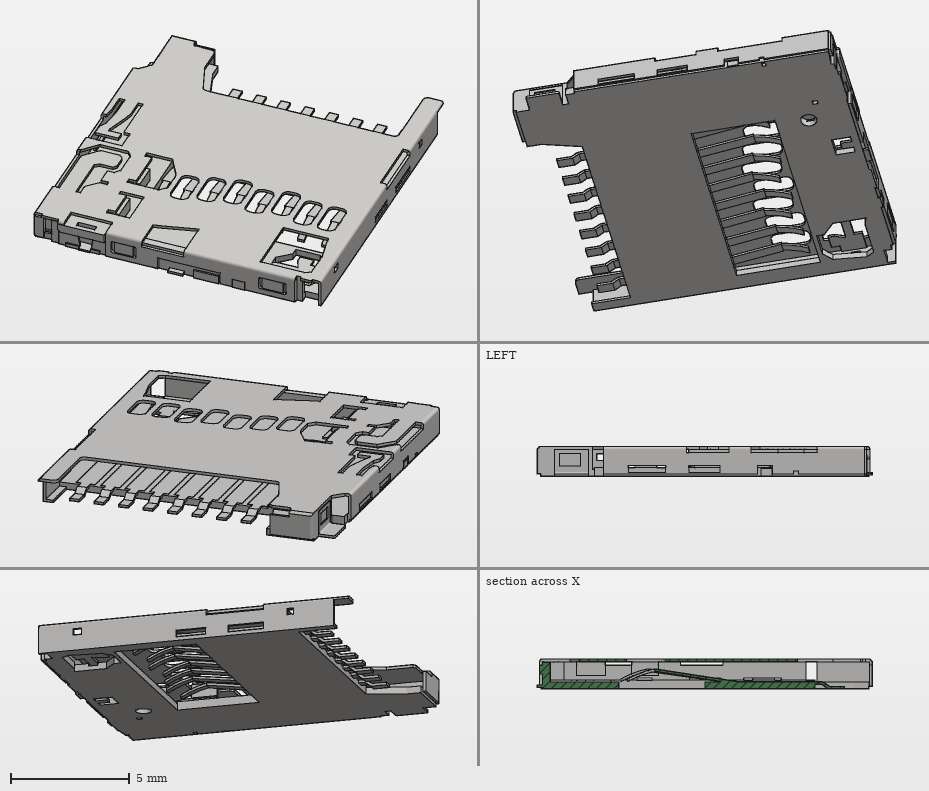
import cadquery as cq

WIDTH = 13.1
LENGTH = 14.17
HEIGHT = 1.28
SHEET = 0.13
ARM_CORNER = 0.11
BEND = 0.14
FLOOR_TOP = 0.3
RAIL_TOP = 0.37
RAIL_RIGHT = 3.61
WALL_BOTTOM = 0.11
COVER_UNDER = HEIGHT - SHEET
NOTCH_BOTTOM = 1.0

FRONT = 0.1
PLASTIC_FRONT = FRONT + SHEET
PLASTIC_BACK = 0.57
PLASTIC_TOP = 1.13
CORNER_FRONT = 0.34
LEFT_WALL_BACK = 11.36
BACK_EDGE = 11.01
ARM_LEFT = 0.72
ARM_RIGHT = 2.85
BACK_WALL_RIGHT = 2.64
RIGHT_ARM_INNER = 12.24
RIGHT_ARM_BACK = 14.08
OUTLINE_RADIUS = 0.21
FRONT_WALL_LEFT = 3.36
FRONT_WALL_RIGHT = 11.99
FLOOR_BACK = 11.75
FOOT_FRONT = 12.0
FOOT_BACK = 13.43
FOOT_THICKNESS = 0.11
FOOT_RADIUS = 0.09

FRONT_LATCHES = [(3.61, 4.75), (10.35, 11.59)]
LATCH_MARGIN = 0.14
FLOOR_EDGE = 0.07
ARM_WINDOW_Y = (12.33, 13.22)
ARM_WINDOW_Z = (0.44, 0.96)

CONTACT_COUNT = 8
FIRST_CONTACT_X = 4.15
LAST_CONTACT_X = 11.85
CONTACT_PITCH = (LAST_CONTACT_X - FIRST_CONTACT_X) / (CONTACT_COUNT - 1)
CONTACT_THICKNESS = 0.11
TIP_BOW = 0.05
BEAM_ROOT = 8.5
SLOT_WIDTH = 0.82
SLOT_LENGTH = 1.67
SLOT_RADIUS = 0.28
SLOT_CENTRES_Y = [4.62, 4.34, 4.62, 4.89, 4.62, 4.89, 4.62, 4.62]


def box(x0, x1, y0, y1, z0, z1):
    return cq.Workplane("XY").box(x1 - x0, y1 - y0, z1 - z0, centered=False).translate((x0, y0, z0))


def prism(points, z0, z1):
    return cq.Workplane("XY").workplane(offset=z0).polyline(points).close().extrude(z1 - z0)


def profile_along_x(points, x0, x1):
    """Extrude a (y, z) outline from x0 to x1."""
    return cq.Workplane("YZ").workplane(offset=x0).polyline(points).close().extrude(x1 - x0)


def through_cover(points):
    return prism(points, NOTCH_BOTTOM, HEIGHT)


def contact_x(index):
    return FIRST_CONTACT_X + index * CONTACT_PITCH


def cover_sheet():
    outline = [
        (0, CORNER_FRONT), (0, LEFT_WALL_BACK), (0.27, LEFT_WALL_BACK), (ARM_LEFT, 11.82),
        (ARM_LEFT, LENGTH), (BACK_WALL_RIGHT, LENGTH), (BACK_WALL_RIGHT, 14.01), (ARM_RIGHT, 14.01),
        (ARM_RIGHT, 12.5), (3.37, BACK_EDGE), (RIGHT_ARM_INNER, BACK_EDGE),
        (RIGHT_ARM_INNER, RIGHT_ARM_BACK), (WIDTH, RIGHT_ARM_BACK),
        (WIDTH, CORNER_FRONT), (12.7, CORNER_FRONT), (12.7, 0.24), (12.19, 0.24), (12.19, CORNER_FRONT),
        (FRONT_WALL_RIGHT, CORNER_FRONT), (FRONT_WALL_RIGHT, FRONT), (1.16, FRONT), (1.16, 0.24),
        (0.38, 0.24), (0.38, CORNER_FRONT),
    ]
    sheet = prism(outline, COVER_UNDER, HEIGHT)
    for x, y in [(3.37, BACK_EDGE), (RIGHT_ARM_INNER, BACK_EDGE), (RIGHT_ARM_INNER, RIGHT_ARM_BACK)]:
        corner = cq.selectors.NearestToPointSelector((x, y, (HEIGHT + COVER_UNDER) / 2))
        sheet = sheet.edges("|Z").edges(corner).fillet(OUTLINE_RADIUS)
    return sheet


def cover_walls():
    z0, z1 = WALL_BOTTOM, HEIGHT
    walls = box(0, SHEET, CORNER_FRONT, LEFT_WALL_BACK, z0, z1)
    walls = walls.union(box(WIDTH - SHEET, WIDTH, CORNER_FRONT, FOOT_BACK, 0, z1))
    walls = walls.union(box(FRONT_WALL_LEFT, FRONT_WALL_RIGHT, FRONT, FRONT + SHEET, 0.05, z1))
    walls = walls.union(box(ARM_LEFT, ARM_LEFT + SHEET, 11.82, LENGTH, z0, z1))
    walls = walls.union(box(SHEET / 2, 0.47, 0.24, CORNER_FRONT + SHEET, z0, COVER_UNDER))
    return walls.union(box(ARM_LEFT, BACK_WALL_RIGHT, LENGTH - SHEET, LENGTH, z0, z1))


def bend_edges(cover):
    """Round the outer edges where the sheet turns down into the walls."""
    for edge_direction, side in [("|Y", "<X"), ("|Y", ">X"), ("|X", "<Y")]:
        cover = cover.faces(">Z").edges(edge_direction).edges(side).fillet(BEND)
    arm_left_edge = cq.selectors.BoxSelector((0, 11.76, 0), (ARM_LEFT + 0.01, LENGTH + 0.14, HEIGHT + 0.14))
    cover = cover.faces(">Z").edges("|X").edges(">Y").chamfer(ARM_CORNER)
    return cover.edges("|Z").edges(">Y").edges(arm_left_edge).fillet(ARM_CORNER)


def spring_finger_slot():
    """Slot around the L-ended finger by the left wall, open through the bend."""
    return through_cover([
        (0, 6.06), (1.69, 6.06), (1.69, 6.97), (1.4, 6.97), (1.4, 9.11), (1.19, 9.11),
        (1.19, 8.3), (1.06, 7.84), (0.77, 6.97), (0.77, 6.85), (1.35, 6.85), (1.35, 6.5), (0.28, 6.5),
        (0.28, 6.97), (0.47, 7.3), (0.58, 8.22), (0.58, 9.11), (0.33, 9.11), (0.33, 8.3), (0.25, 7.85), (0, 7.85),
    ])


def hook_slot():
    """Hook-shaped slot that frees the latch spring, open through the left bend."""
    return through_cover([
        (0, 5.13), (0.17, 5.13), (0.8, 5.8), (2.08, 5.8), (2.3, 5.54), (2.3, 4.44), (2.08, 4.2),
        (1.79, 4.2), (1.79, 3.47), (2.13, 3.47), (2.13, 3.29), (1.79, 3.29), (1.3, 2.8), (1.3, 2.34),
        (1.1, 2.34), (1.1, 4.38), (1.3, 4.52), (1.9, 4.52), (2.03, 4.66), (2.03, 5.25), (1.85, 5.41),
        (0.98, 5.41), (0.35, 4.75), (0.35, 2.34), (0, 2.34),
    ])


def guide_windows():
    """Two windows whose left edges carry bent-down guide tabs between relief notches."""
    rear = through_cover([
        (2.85, 6.0), (4.02, 6.0), (4.53, 5.12), (4.59, 4.89), (4.59, 4.05), (4.31, 3.77), (2.85, 3.77),
        (2.85, 4.0), (3.17, 4.0), (3.17, 5.77), (2.85, 5.77),
    ])
    front = through_cover([
        (2.85, 3.06), (3.91, 3.06), (3.91, 1.46), (2.85, 1.46), (2.85, 1.67), (3.17, 1.67),
        (3.17, 2.89), (2.85, 2.89),
    ])
    return rear.union(front)


def guide_tabs():
    tab_left, tab_right, tab_bottom = 3.17, 3.35, 0.57
    root_left = tab_left - SHEET
    tabs = cq.Workplane("XY")
    for front, back in [(4.0, 5.13), (1.67, 2.89)]:
        tabs = tabs.union(box(tab_left, tab_right, front, back, tab_bottom, COVER_UNDER))
        tabs = tabs.union(box(root_left, tab_right, front, back, COVER_UNDER - SHEET, COVER_UNDER))
    return tabs


def contact_slots():
    """Rounded cover slots over the contacts; the first contact lies under the rear guide window."""
    places = [(contact_x(i), SLOT_CENTRES_Y[i]) for i in range(1, CONTACT_COUNT)]
    return (
        cq.Workplane("XY").workplane(offset=NOTCH_BOTTOM).pushPoints(places)
        .rect(SLOT_WIDTH, SLOT_LENGTH).extrude(HEIGHT - NOTCH_BOTTOM).edges("|Z").fillet(SLOT_RADIUS)
    )


def switch_window():
    return through_cover([
        (10.17, 3.29), (12.23, 3.29), (12.29, 2.89), (12.45, 2.01), (12.45, 0.81), (12.19, 0.68), (10.17, 0.68),
    ])


def front_windows():
    wedge = [(5.0, FRONT), (5.0, 1.39), (5.37, 1.46), (6.91, 1.84), (6.91, FRONT)]
    return through_cover(wedge).union(through_cover([(1.46, 0), (1.46, 0.9), (3.36, 0.9), (3.36, 0)]))


def rear_notch():
    return through_cover([
        (1.79, LENGTH), (1.79, 13.89), (1.88, 13.76), (2.69, 13.76), (2.85, 13.66), (2.85, LENGTH),
    ])


def side_wall_slots():
    """Latch slots low in both side walls, and the foot notches of the left wall."""
    slot_bottom, slot_top = 0.17, 0.45
    cuts = box(-0.14, WIDTH + 0.14, 8.74, 10.32, slot_bottom, slot_top)
    cuts = cuts.union(box(-0.14, WIDTH + 0.14, 6.45, 7.75, slot_bottom, slot_top))
    for front, back in [(1.87, 2.24), (11.36, 11.65)]:
        cuts = cuts.union(box(WIDTH - SHEET, WIDTH, front, back, 0.68, 0.95))
    cuts = cuts.union(box(-0.14, SHEET, 4.22, 4.85, 0, slot_top))
    return cuts.union(box(-0.14, SHEET, 3.13, 3.33, 0, 0.23))


def front_wall_cuts():
    back = FRONT + SHEET
    cuts = box(5.74, 8.59, 0, back, 0, 0.62)
    cuts = cuts.union(box(9.13, 9.7, 0, back, 0, 0.45))
    for left, right in FRONT_LATCHES:
        window = box(left, right, 0, back, 0.33, 0.9).edges("|Y").fillet(0.09)
        cuts = cuts.union(window)
    return cuts


def cover_part():
    cover = bend_edges(cover_sheet().union(cover_walls()))
    openings = [
        spring_finger_slot(), hook_slot(), guide_windows(), contact_slots(), switch_window(),
        front_windows(), rear_notch(), side_wall_slots(), front_wall_cuts(),
        box(12.78, WIDTH, 7.77, 10.32, NOTCH_BOTTOM, HEIGHT),
        box(ARM_LEFT, ARM_LEFT + 0.05, *ARM_WINDOW_Y, *ARM_WINDOW_Z),
    ]
    for opening in openings:
        cover = cover.cut(opening)
    return cover.union(guide_tabs())


def floor_plate():
    outline = [
        (FLOOR_EDGE, CORNER_FRONT), (FLOOR_EDGE, LEFT_WALL_BACK), (0.17, LEFT_WALL_BACK),
        (0.17, FLOOR_BACK), (ARM_LEFT, FLOOR_BACK),
        (ARM_LEFT, 14.01), (ARM_RIGHT, 14.01), (ARM_RIGHT, 13.39), (3.36, FLOOR_BACK),
        (WIDTH - FLOOR_EDGE, FLOOR_BACK), (WIDTH - FLOOR_EDGE, 0.68), (RIGHT_ARM_INNER, 0.68),
        (RIGHT_ARM_INNER, CORNER_FRONT),
        (FRONT_WALL_RIGHT, CORNER_FRONT), (FRONT_WALL_RIGHT, PLASTIC_FRONT), (1.16, PLASTIC_FRONT),
        (1.16, 0.43),
    ]
    plate = prism(outline, 0, FLOOR_TOP)
    plate = plate.union(box(FLOOR_EDGE, RAIL_RIGHT, CORNER_FRONT + SHEET, LEFT_WALL_BACK, 0, RAIL_TOP))
    plate = plate.union(box(RAIL_RIGHT, 4.25, CORNER_FRONT + SHEET, 3.12, 0, RAIL_TOP))
    return plate.union(box(0.17, RAIL_RIGHT, LEFT_WALL_BACK, FLOOR_BACK, 0, RAIL_TOP))


def front_wall():
    """Moulded wall behind the front sheet, with latch bosses and the recessed clip bay at the left."""
    wall = box(1.16, FRONT_WALL_RIGHT, PLASTIC_FRONT, PLASTIC_BACK, 0, PLASTIC_TOP)
    wall = wall.union(box(FRONT_WALL_RIGHT, RIGHT_ARM_INNER, CORNER_FRONT, PLASTIC_BACK, 0, COVER_UNDER))
    for left, right in FRONT_LATCHES:
        wall = wall.union(box(left + LATCH_MARGIN, right - LATCH_MARGIN, FRONT + 0.03, 0.28, 0.35, 0.88))
    lip = box(1.16, 3.3, FRONT, PLASTIC_FRONT, 0.74, PLASTIC_TOP).edges("|Y and <X and <Z").fillet(0.17)
    wall = wall.union(lip)
    wall = wall.union(box(1.52, 3.05, 0.17, PLASTIC_FRONT, 0, 0.17))
    wall = wall.union(box(0.84, 1.16, 0.27, PLASTIC_BACK, 0, COVER_UNDER))
    wall = wall.union(box(SHEET, 1.16, PLASTIC_BACK, PLASTIC_BACK + 0.14, 0, COVER_UNDER))
    return wall.union(box(1.16, FRONT_WALL_LEFT, PLASTIC_BACK, 1.13, 0, PLASTIC_TOP))


def clip_bay():
    """Pocket for the front clip with a tapered mouth under the lip."""
    depth = 0.54
    bay = box(1.94, 2.78, PLASTIC_FRONT + 0.09, depth, 0.14, PLASTIC_TOP)
    mouth = cq.Workplane("XZ").polyline([(2.04, 0.74), (2.73, 0.74), (2.65, 0.14), (2.14, 0.14)]).close()
    return bay.union(mouth.extrude(-depth))


def floor_openings():
    switch_hole = [
        (10.17, 2.42), (10.75, 2.93), (10.75, 3.26), (11.86, 3.26), (12.29, 2.89), (12.44, 1.46),
        (12.23, 1.12), (10.57, 1.12), (10.17, 0.99),
    ]
    openings = box(RAIL_RIGHT, 12.33, 3.46, 7.08, 0, FLOOR_TOP)
    openings = openings.union(prism(switch_hole, 0, FLOOR_TOP))
    openings = openings.union(box(5.29, 6.19, PLASTIC_BACK, 1.39, 0, FLOOR_TOP))
    openings = openings.union(box(2.85, 3.02, 1.46, 1.67, 0, RAIL_TOP))
    openings = openings.union(box(0.15, 0.33, 3.1, 3.26, 0, RAIL_TOP))
    return openings.union(cq.Workplane("XY").center(3.91, 2.05).circle(0.34).extrude(RAIL_TOP))


def switch_terminal():
    outline = [
        (10.17, 2.01), (10.37, 2.13), (11.31, 2.13), (11.12, 2.56), (11.12, 2.85), (11.75, 2.85), (11.75, 2.48),
        (12.09, 2.48), (12.09, 1.39), (11.2, 1.39), (11.2, 1.74), (10.37, 1.74), (10.17, 1.63),
    ]
    return prism(outline, FLOOR_TOP - CONTACT_THICKNESS, FLOOR_TOP)


def floor_part():
    floor = floor_plate().union(front_wall()).cut(floor_openings()).cut(clip_bay())
    floor = floor.union(switch_terminal())
    floor = floor.union(box(5.55, 5.91, PLASTIC_BACK, 1.06, 0, WALL_BOTTOM))
    for front, back in [(9.11, 10.03), (6.45, 7.51)]:
        floor = floor.union(box(0.23, 0.37, front, back, 0, 0.47))
    return floor.union(box(0.03, 0.17, 4.25, 4.7, 0.03, 0.34))


def contact(index):
    """Soldering tail, shoulder in the floor and a sprung beam reaching forward to its slot."""
    x = contact_x(index)
    tail_half, shoulder_half, tip_half = 0.21, 0.43, 0.15
    t = CONTACT_THICKNESS
    top = FLOOR_TOP + 0.01
    crest_z = 0.85
    tip_z = 0.43
    crest_y = SLOT_CENTRES_Y[index] + 0.37
    tip_y = SLOT_CENTRES_Y[index] - 0.8
    tail = profile_along_x([
        (BEAM_ROOT, top), (12.02, top), (12.1, top - 0.03), (12.35, t), (12.98, t), (12.98, 0), (12.29, 0),
        (12.02, top - t), (BEAM_ROOT, top - t),
    ], x - tail_half, x + tail_half)
    beam = profile_along_x([
        (BEAM_ROOT, top), (crest_y, crest_z), (crest_y, crest_z - t), (BEAM_ROOT, top - t),
    ], x - tail_half, x + tail_half)
    bow_y = (crest_y + tip_y) / 2
    bow_z = (crest_z + tip_z) / 2 + TIP_BOW
    tip = (
        cq.Workplane("YZ").workplane(offset=x - tip_half).moveTo(crest_y, crest_z)
        .threePointArc((bow_y, bow_z), (tip_y, tip_z)).lineTo(tip_y, tip_z - t)
        .threePointArc((bow_y, bow_z - t), (crest_y, crest_z - t)).close().extrude(2 * tip_half)
    )
    shoulder = box(x - shoulder_half, x + shoulder_half, BEAM_ROOT, 11.58, top - t, top)
    return tail.union(beam).union(tip).union(shoulder)


def feet():
    arm_wall_face = ARM_LEFT - 0.03
    left_foot = box(0, ARM_LEFT + SHEET, FOOT_FRONT, FOOT_BACK, 0, FOOT_THICKNESS)
    left_foot = left_foot.edges("|Z and <X").fillet(FOOT_RADIUS)
    left_riser = box(arm_wall_face, ARM_LEFT + SHEET, FOOT_FRONT, FOOT_BACK, 0, COVER_UNDER)
    bend_corner = cq.selectors.NearestToPointSelector(
        (arm_wall_face, (FOOT_FRONT + FOOT_BACK) / 2, FOOT_THICKNESS))
    parts = left_foot.union(left_riser).edges(bend_corner).fillet(BEND / 2)
    parts = parts.cut(box(0, ARM_LEFT + 0.03, *ARM_WINDOW_Y, *ARM_WINDOW_Z))
    parts = parts.union(box(12.64, WIDTH - 0.04, FLOOR_BACK - 0.14, FOOT_BACK, 0, FOOT_THICKNESS))
    parts = parts.union(box(6.23, 6.91, 0, 0.28, 0.05, 0.17))
    parts = parts.union(box(7.35, 8.49, FRONT + 0.04, 0.28, 0, 0.4))
    parts = parts.union(box(9.13, 9.7, FRONT + 0.04, 0.28, 0, 0.43))
    return parts.union(box(2.14, 2.65, 0.05, 0.54, 0.05, 0.14))


result = cover_part().union(floor_part()).union(feet())
for number in range(CONTACT_COUNT):
    result = result.union(contact(number))